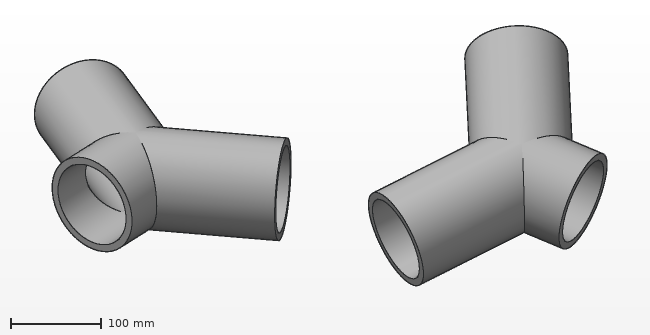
import cadquery as cq
import math

OUTER_DIAMETER = 114.3
INNER_DIAMETER = 97.18
STEM_LENGTH = 76.2
BRANCH_LENGTH = 165.1

STEM_HEADING = -90
BRANCH_HEADINGS = (30, 150)

PIPES = [(STEM_HEADING, STEM_LENGTH)]
PIPES += [(heading, BRANCH_LENGTH) for heading in BRANCH_HEADINGS]


def rod(diameter, length, heading):
    """Solid cylinder from the origin along a heading in the XY plane."""
    angle = math.radians(heading)
    direction = cq.Vector(math.cos(angle), math.sin(angle), 0)
    return cq.Workplane(cq.Solid.makeCylinder(diameter / 2, length, cq.Vector(), direction))


def joined_rods(diameter):
    """Rods of one diameter along all three axes, joined where they meet."""
    body = cq.Workplane("XY")
    for heading, length in PIPES:
        body = body.add(rod(diameter, length, heading))
    return body.combine()


result = joined_rods(OUTER_DIAMETER).cut(joined_rods(INNER_DIAMETER))